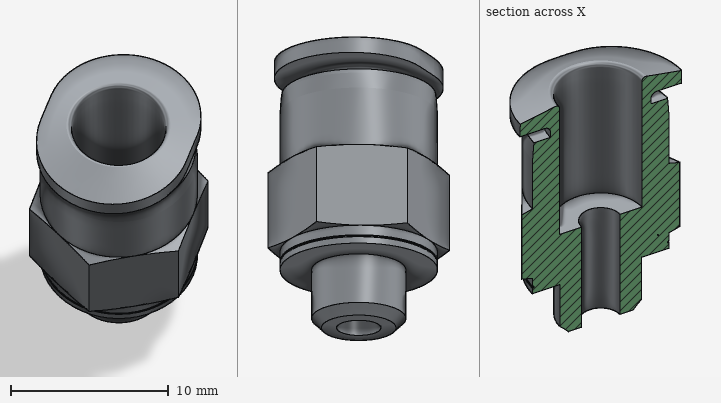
import cadquery as cq
import math

total_height = 18.0
washer_bottom = 3.9
groove_bottom = 4.35
groove_top = 4.46
hex_bottom = 5.11
hex_top = 10.58
taper_start = 14.4
taper_break = 15.45
body_top = 15.71
cap_bottom = 16.5

body_diameter = 10.0
body_radius = body_diameter / 2
taper_break_radius = 4.93
body_top_radius = 4.9
groove_depth = 0.09
stem_diameter = 6.0
stem_chamfer = 0.63

hex_corner_radius = body_radius / math.cos(math.radians(30))
corner_chamfer_angle = 15.0

cap_width = 9.8
cap_length = 11.8
cap_edge_drop = 0.47
neck_diameter = 7.4
neck_fillet = 0.38

tube_bore_diameter = 6.0
tube_bore_floor = 7.87
bore_lip_radius = 0.3
through_diameter = 2.8


def revolve(profile):
    """Spin a closed (radius, height) profile about the Z axis."""
    return profile.close().revolve(360, (0, 0, 0), (0, 1, 0))


def cylinder(diameter, bottom, top):
    return cq.Workplane("XY").workplane(offset=bottom).circle(diameter / 2).extrude(top - bottom)


def make_body():
    stem_radius = stem_diameter / 2
    groove_radius = body_radius - groove_depth
    return revolve(
        cq.Workplane("XZ").polyline([
            (0, 0),
            (stem_radius - stem_chamfer, 0),
            (stem_radius, stem_chamfer),
            (stem_radius, washer_bottom),
            (body_radius, washer_bottom),
            (body_radius, groove_bottom),
            (groove_radius, groove_bottom),
            (groove_radius, groove_top),
            (body_radius, groove_top),
            (body_radius, taper_start),
            (taper_break_radius, taper_break),
            (body_top_radius, body_top),
            (0, body_top),
        ])
    )


def make_hexagon():
    """Hexagon with flats on +/-X, its corners trimmed by a cone at each end."""
    prism = (
        cq.Workplane("XY").workplane(offset=hex_bottom)
        .polygon(6, 2 * hex_corner_radius)
        .extrude(hex_top - hex_bottom)
        .rotate((0, 0, 0), (0, 0, 1), 30)
    )
    corner_drop = (hex_corner_radius - body_radius) * math.tan(math.radians(corner_chamfer_angle))
    envelope = revolve(
        cq.Workplane("XZ").polyline([
            (0, hex_bottom),
            (body_radius, hex_bottom),
            (hex_corner_radius, hex_bottom + corner_drop),
            (hex_corner_radius, hex_top - corner_drop),
            (body_radius, hex_top),
            (0, hex_top),
        ])
    )
    return prism.intersect(envelope)


def make_cap():
    oblong = (
        cq.Workplane("XY").workplane(offset=cap_bottom)
        .slot2D(cap_length, cap_width, 90)
        .extrude(total_height - cap_bottom)
    )
    flat_radius = tube_bore_diameter / 2 + bore_lip_radius
    edge_radius = cap_length / 2
    envelope = revolve(
        cq.Workplane("XZ").polyline([
            (0, cap_bottom),
            (edge_radius, cap_bottom),
            (edge_radius, total_height - cap_edge_drop),
            (flat_radius, total_height),
            (0, total_height),
        ])
    )
    return oblong.intersect(envelope)


def make_neck():
    """Neck that flares into the underside of the cap with a concave fillet."""
    neck_radius = neck_diameter / 2
    arc_offset = neck_fillet * (1 - math.sqrt(0.5))
    return revolve(
        cq.Workplane("XZ")
        .moveTo(0, body_top)
        .lineTo(neck_radius, body_top)
        .lineTo(neck_radius, cap_bottom - neck_fillet)
        .threePointArc(
            (neck_radius + arc_offset, cap_bottom - arc_offset),
            (neck_radius + neck_fillet, cap_bottom),
        )
        .lineTo(0, cap_bottom)
    )


def make_tube_bore():
    """Blind bore whose mouth has a rounded lip."""
    bore_radius = tube_bore_diameter / 2
    arc_offset = bore_lip_radius * (1 - math.sqrt(0.5))
    return revolve(
        cq.Workplane("XZ")
        .moveTo(0, tube_bore_floor)
        .lineTo(bore_radius, tube_bore_floor)
        .lineTo(bore_radius, total_height - bore_lip_radius)
        .threePointArc(
            (bore_radius + arc_offset, total_height - arc_offset),
            (bore_radius + bore_lip_radius, total_height),
        )
        .lineTo(0, total_height)
    )


outside = make_body().union(make_hexagon()).union(make_neck()).union(make_cap())
result = outside.cut(make_tube_bore()).cut(cylinder(through_diameter, 0, total_height))